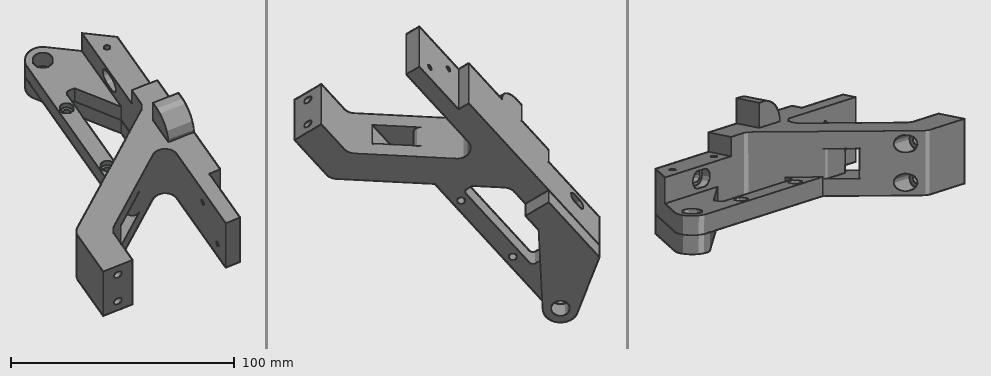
import cadquery as cq
import math


length = 149.0
wall_thickness = 13.0
wall_front_y = -wall_thickness
plate_front_y = -39.0
arm_front_y = -75.0

plate_top_z = 9.0
pad_thickness = plate_top_z
low_wall_top_z = 21.0
beam_top_z = 30.0
knob_top_z = 41.5

boss_radius = 8.0
pivot_x = boss_radius
pivot_y = plate_front_y + boss_radius
bracket_bore_diameter = 9.1
pad_bore_diameter = 8.3
rake_top = (20.7, 0)
low_wall_end_x = 59.0

brace_top = (49.2, wall_front_y)

opening_left_x = 29.5
opening_right_x = 81.2
opening_front_y = -31.0
opening_corner_radius = 2.1

arm_angle = math.radians(50)
arm_width = 14.9
arm_root_x = 70.0
bend_radius = 6.0
fin_start_x = 119.3
fin_back_y = -5.7

window_back_y = -40.4
window_front_y = -51.7
window_bottom_z = 8.0
window_height = 13.9
window_edge_radius = 3.3

knob_start_x = 79.3
knob_end_x = 94.2

plate_screw_xs = (38.5, 77.5)
plate_screw_y = -35.0
plate_screw_diameter = 3.6
plate_head_diameter = 6.3
plate_head_depth = 3.0

arm_screw_y = -67.5
arm_screw_zs = (6.1, 24.0)
arm_screw_diameter = 4.0
arm_head_diameter = 8.0
arm_head_end_x = 123.7

wall_hole_xs = (24.1, 54.1)
wall_hole_y = -7.0
wall_hole_diameter = 2.8
wall_hole_depth = 10.0
drill_half_angle = math.radians(59)

slot_x = 37.5
slot_z = 15.0
slot_length = 9.2
slot_height = 5.2
slot_recess_margin = 1.5
slot_recess_depth = 4.5

fin_hole_places = ((127.0, 22.0), (141.0, 8.0))
fin_hole_diameter = 2.5


def boss_tangent_point(point, side):
    """Where the line from point touches the boss circle; side +1 is counterclockwise, -1 clockwise."""
    dx = point[0] - pivot_x
    dy = point[1] - pivot_y
    angle = math.atan2(dy, dx) + side * math.acos(boss_radius / math.hypot(dx, dy))
    return pivot_x + boss_radius * math.cos(angle), pivot_y + boss_radius * math.sin(angle)


def arm_front_x(y):
    """X of the slanted front face of the arm at a given Y."""
    return arm_root_x + (wall_front_y - y) / math.tan(arm_angle)


def arm_back_x(y):
    """X of the slanted back face of the arm at a given Y."""
    return arm_front_x(y) + arm_width / math.sin(arm_angle)


rake_end = boss_tangent_point(rake_top, 1)
boss_left = (pivot_x - boss_radius, pivot_y)
boss_front = (pivot_x, plate_front_y)
brace_end = boss_tangent_point(brace_top, -1)


def make_plate():
    plate = (
        cq.Workplane("XY")
        .moveTo(*rake_top)
        .lineTo(*rake_end)
        .threePointArc(boss_left, boss_front)
        .lineTo(arm_front_x(plate_front_y), plate_front_y)
        .lineTo(arm_root_x, wall_front_y)
        .lineTo(arm_root_x, 0)
        .close()
        .extrude(plate_top_z)
    )
    brace_slope = (brace_top[1] - brace_end[1]) / (brace_top[0] - brace_end[0])
    opening_left_y = brace_top[1] - brace_slope * (brace_top[0] - opening_left_x)
    opening = (
        cq.Workplane("XY")
        .polyline([
            brace_top,
            (opening_left_x, opening_left_y),
            (opening_left_x, opening_front_y),
            (opening_right_x, opening_front_y),
            (opening_right_x, wall_front_y),
        ])
        .close()
        .extrude(plate_top_z)
        .edges("|Z and <Y")
        .fillet(opening_corner_radius)
    )
    screw_holes = (
        cq.Workplane("XY", origin=(0, 0, plate_top_z))
        .pushPoints([(x, plate_screw_y) for x in plate_screw_xs])
    )
    shanks = screw_holes.circle(plate_screw_diameter / 2).extrude(-plate_top_z)
    heads = screw_holes.circle(plate_head_diameter / 2).extrude(-plate_head_depth)
    return plate.cut(opening).cut(shanks).cut(heads)


def make_low_wall():
    """Wall along the back, with its left end cut along the rake."""
    rake_slope = (rake_top[0] - rake_end[0]) / (rake_top[1] - rake_end[1])
    wall = (
        cq.Workplane("XY")
        .polyline([
            rake_top,
            (rake_top[0] + rake_slope * wall_front_y, wall_front_y),
            (low_wall_end_x, wall_front_y),
            (low_wall_end_x, 0),
        ])
        .close()
        .extrude(low_wall_top_z)
    )
    slot = cq.Workplane("XZ", origin=(slot_x, 0, slot_z)).slot2D(slot_length, slot_height)
    recess = (
        cq.Workplane("XZ", origin=(slot_x, wall_front_y, slot_z))
        .slot2D(slot_length + 2 * slot_recess_margin, slot_height + 2 * slot_recess_margin)
        .extrude(-slot_recess_depth)
    )
    wall = wall.cut(slot.extrude(wall_thickness)).cut(recess)
    for x in wall_hole_xs:
        wall = wall.cut(make_drilled_hole(x))
    return wall


def make_drilled_hole(x):
    """Blind hole with a conical drill point, going down from the top of the low wall."""
    radius = wall_hole_diameter / 2
    point_depth = wall_hole_depth + radius / math.tan(drill_half_angle)
    return (
        cq.Workplane("XZ", origin=(x, wall_hole_y, low_wall_top_z))
        .polyline([(0, 0), (radius, 0), (radius, -wall_hole_depth), (0, -point_depth)])
        .close()
        .revolve(360, (0, 0), (0, 1))
    )


def make_beam_and_arm():
    inner_y = arm_front_y + arm_width
    bends = [
        (arm_root_x, wall_front_y),
        (arm_front_x(arm_front_y), arm_front_y),
        (arm_back_x(inner_y), inner_y),
        (arm_back_x(wall_front_y), wall_front_y),
    ]
    frame = (
        cq.Workplane("XY")
        .polyline([
            (low_wall_end_x, 0),
            (low_wall_end_x, wall_front_y),
            *bends[:2],
            (length, arm_front_y),
            (length, inner_y),
            *bends[2:],
            (length, wall_front_y),
            (length, fin_back_y),
            (fin_start_x, fin_back_y),
            (fin_start_x, 0),
        ])
        .close()
        .extrude(beam_top_z)
    )
    for x, y in bends:
        bend_edge = cq.selectors.NearestToPointSelector((x, y, beam_top_z / 2))
        frame = frame.edges("|Z").edges(bend_edge).fillet(bend_radius)
    return cut_window(frame).cut(make_arm_screw_holes()).cut(make_fin_holes())


def cut_window(frame):
    """Rectangular opening through the arm along X, rounded where its back wall meets the arm faces."""
    window = (
        cq.Workplane("XY", origin=(0, 0, window_bottom_z))
        .polyline([
            (arm_front_x(window_back_y), window_back_y),
            (arm_front_x(window_front_y), window_front_y),
            (arm_back_x(window_front_y), window_front_y),
            (arm_back_x(window_back_y), window_back_y),
        ])
        .close()
        .extrude(window_height)
    )
    frame = frame.cut(window)
    window_middle_z = window_bottom_z + window_height / 2
    for arm_face_x in (arm_front_x, arm_back_x):
        corner = (arm_face_x(window_back_y), window_back_y, window_middle_z)
        corner_edge = cq.selectors.NearestToPointSelector(corner)
        frame = frame.edges("|Z").edges(corner_edge).fillet(window_edge_radius)
    return frame


def make_arm_screw_holes():
    centres = [(arm_screw_y, z) for z in arm_screw_zs]
    arm_start_x = arm_front_x(wall_front_y)
    start = cq.Workplane("YZ", origin=(arm_start_x, 0, 0)).pushPoints(centres)
    shanks = start.circle(arm_screw_diameter / 2).extrude(length - arm_start_x)
    heads = start.circle(arm_head_diameter / 2).extrude(arm_head_end_x - arm_start_x)
    return shanks.union(heads)


def make_fin_holes():
    return (
        cq.Workplane("XZ")
        .pushPoints(fin_hole_places)
        .circle(fin_hole_diameter / 2)
        .extrude(wall_thickness)
    )


def make_knob():
    """Stop on the beam: square on one side, a quarter round on the other."""
    knob_radius = knob_top_z - beam_top_z
    knob_round_start_x = knob_end_x - knob_radius
    round_middle = (
        knob_round_start_x + knob_radius * math.sin(math.pi / 4),
        beam_top_z + knob_radius * math.cos(math.pi / 4),
    )
    return (
        cq.Workplane("XZ")
        .moveTo(knob_start_x, beam_top_z)
        .lineTo(knob_start_x, knob_top_z)
        .lineTo(knob_round_start_x, knob_top_z)
        .threePointArc(round_middle, (knob_end_x, beam_top_z))
        .close()
        .extrude(wall_thickness)
    )


def make_pivot_bore(diameter, depth):
    return (
        cq.Workplane("XY", origin=(pivot_x, pivot_y, 0))
        .circle(diameter / 2)
        .extrude(depth)
    )


def make_bracket():
    body = make_plate().union(make_low_wall()).union(make_beam_and_arm()).union(make_knob())
    return body.cut(make_pivot_bore(bracket_bore_diameter, plate_top_z))


def make_pad():
    pad = (
        cq.Workplane("XY")
        .moveTo(*rake_top)
        .lineTo(*rake_end)
        .threePointArc(boss_left, brace_end)
        .lineTo(*brace_top)
        .lineTo(low_wall_end_x, wall_front_y)
        .lineTo(low_wall_end_x, 0)
        .close()
        .extrude(-pad_thickness)
    )
    return pad.cut(make_pivot_bore(pad_bore_diameter, -pad_thickness))


bracket = make_bracket()
pad = make_pad()

result = cq.Compound.makeCompound([bracket.val(), pad.val()])